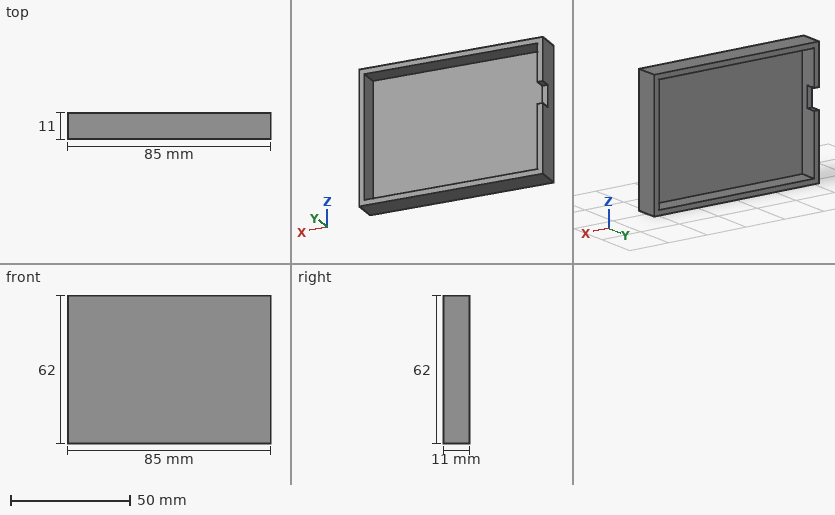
import cadquery as cq

length = 85.0
depth = 11.0
height = 62.0
wall = 2.5

notch_height = 10.0
notch_depth = 5.0
notch_top_offset = 20.0


def corner_box(size_x, size_y, size_z, corner):
    """Box with its lowest X, Y and Z corner at the given point."""
    return cq.Workplane("XY").box(size_x, size_y, size_z, centered=False).translate(corner)


def make_tray():
    """Block hollowed from the +Y face, leaving an even wall."""
    block = corner_box(length, depth, height, (0, 0, 0))
    cavity = corner_box(length - 2 * wall, depth - wall, height - 2 * wall, (wall, wall, wall))
    return block.cut(cavity)


def make_notch():
    """Cutter passing through the -X side into the cavity."""
    notch_bottom = height - notch_top_offset - notch_height
    return corner_box(wall, notch_depth, notch_height, (0, depth - notch_depth, notch_bottom))


result = make_tray().cut(make_notch())